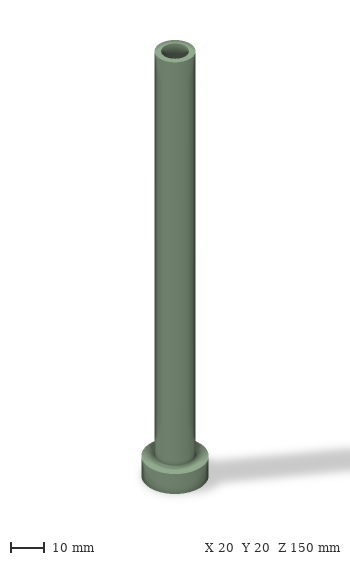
import cadquery as cq

total_length = 150.0
head_diameter = 20.0
head_height = 7.0

tube_diameter = 12.2
bore_diameter = 8.2
root_fillet = 0.68

head = cq.Workplane("XY").circle(head_diameter / 2).extrude(head_height)
tube = cq.Workplane("XY").circle(tube_diameter / 2).extrude(total_length)
body = head.union(tube)

tube_root = cq.selectors.RadiusNthSelector(0)
body = body.faces("<Z[1]").edges(tube_root).fillet(root_fillet)

bore = cq.Workplane("XY").circle(bore_diameter / 2).extrude(total_length)
result = body.cut(bore)